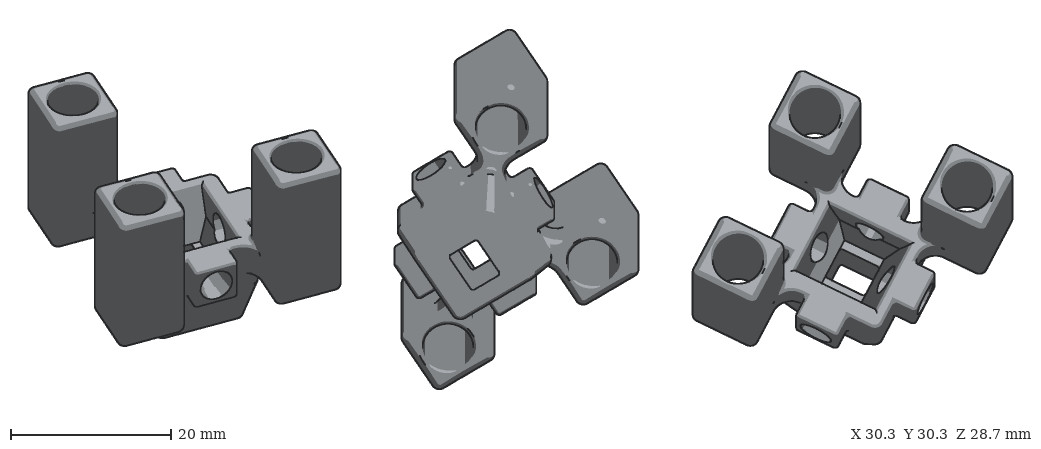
import cadquery as cq
import math

total_height = 28.7
tower_height = 20.0
tower_bottom = total_height - tower_height
body_top = 13.7
taper_top = 6.7

body_size = 14.5
nose_size_x = 10.8
nose_size_y = 11.8
body_corner_radius = 1.1

overall_size = 30.3
tower_size = 9.0
tower_offset = (overall_size - tower_size) / 2
tower_corners = [(-1, -1), (1, -1), (1, 1)]
tower_edge_radius = 1.0
tower_bore_diameter = 6.3
tower_bore_rounding = 0.5
web_radius = 2.5

arm_size = 5.9
arm_reach = 10.2
arm_axis_height = body_top - arm_size / 2
arm_bore_diameter = 3.9
arm_mouth_diameter = 4.3
arm_mouth_depth = 1.8

edge_radius = 0.5

pocket_top_x = 11.44
pocket_waist_x = 8.44
pocket_waist_y = 9.4
pocket_floor_x = 5.55
pocket_floor_y = 6.55
pocket_waist_height = 9.43
pocket_floor_height = 6.95
outlet_y = 4.2
outlet_corner_radius = 0.4

body_face = body_size / 2
tower_inner_face = tower_offset - tower_size / 2
web_start = tower_inner_face - web_radius
web_end = body_face + web_radius

tolerance = 0.01


def frustum(bottom_size, bottom_z, top_size, top_z):
    """Rectangular frustum centred on the Z axis, with sizes given as (X, Y)."""
    return (
        cq.Workplane("XY", origin=(0, 0, bottom_z))
        .rect(*bottom_size)
        .workplane(offset=top_z - bottom_z)
        .rect(*top_size)
        .loft(ruled=True)
    )


def plan_span(edge):
    """Smallest and largest distance of an edge's centre from the two vertical mid-planes."""
    center = edge.Center()
    return sorted((abs(center.x), abs(center.y)))


def lies_between(edge, low_z, high_z):
    box = edge.BoundingBox()
    return box.zmin > low_z - tolerance and box.zmax < high_z + tolerance


def is_at_corner(edge, corner):
    center = edge.Center()
    return center.x * corner[0] > 0 and center.y * corner[1] > 0


def make_body():
    nose_outline = cq.Sketch().rect(nose_size_x, nose_size_y).vertices().fillet(body_corner_radius)
    body_outline = cq.Sketch().rect(body_size, body_size).vertices().fillet(body_corner_radius)
    nose = (
        cq.Workplane("XY")
        .placeSketch(nose_outline, body_outline.moved(cq.Location(cq.Vector(0, 0, taper_top))))
        .loft(ruled=True)
        .faces("<Z")
        .edges()
        .fillet(edge_radius)
    )
    block = (
        cq.Workplane("XY", origin=(0, 0, taper_top))
        .placeSketch(body_outline)
        .extrude(body_top - taper_top)
    )
    return nose.union(block)


def turn_to_corner(part, corner):
    """Turn a part built at the (+X, +Y) corner to another corner."""
    turn = math.degrees(math.atan2(corner[1], corner[0])) - 45
    return part.rotate((0, 0, 0), (0, 0, 1), turn)


def make_web(corner):
    """Block joining a body corner to its tower, with a concave arc on either side."""
    arc_mid_low = web_start + web_radius * math.sqrt(0.5)
    arc_mid_high = web_end - web_radius * math.sqrt(0.5)
    web = (
        cq.Workplane("XY", origin=(0, 0, tower_bottom))
        .moveTo(web_start, web_start)
        .lineTo(body_face, web_start)
        .threePointArc((arc_mid_high, arc_mid_low), (web_end, tower_inner_face))
        .lineTo(web_end, web_end)
        .lineTo(tower_inner_face, web_end)
        .threePointArc((arc_mid_low, arc_mid_high), (web_start, body_face))
        .close()
        .extrude(body_top - tower_bottom)
        .faces("<Z")
        .edges("%CIRCLE")
        .fillet(tower_edge_radius)
    )
    return turn_to_corner(web, corner)


def make_arm(angle):
    arm = (
        cq.Workplane("YZ")
        .center(0, arm_axis_height)
        .rect(arm_size, arm_size)
        .extrude(arm_reach)
        .edges("|X and <Z")
        .fillet(edge_radius)
        .faces(">X")
        .edges("not >Z")
        .fillet(edge_radius)
    )
    return arm.rotate((0, 0, 0), (0, 0, 1), angle)


def make_tower(corner):
    tower = (
        cq.Workplane("XY", origin=(tower_offset, tower_offset, tower_bottom))
        .rect(tower_size, tower_size)
        .extrude(tower_height)
        .edges()
        .fillet(tower_edge_radius)
    )
    return turn_to_corner(tower, corner)


def round_top_rim(part):
    """Round the top outline, except where the towers will cover it."""
    rim = part.faces(">Z").edges().filter(lambda edge: plan_span(edge)[0] < body_face)
    return rim.fillet(edge_radius)


def add_tower(part, corner):
    """Add a tower and blend its inner corner into the top of the body."""
    part = part.union(make_tower(corner))
    seam = part.edges().filter(
        lambda edge: lies_between(edge, body_top, body_top)
        and is_at_corner(edge, corner)
        and plan_span(edge)[0] > tower_inner_face - tolerance
    )
    return seam.fillet(edge_radius)


def blend_tower_undersides(part):
    """Blend the undersides of the towers and webs into the sides of the body."""
    seam = part.edges().filter(
        lambda edge: lies_between(edge, tower_bottom, tower_bottom + tower_edge_radius)
        and plan_span(edge)[0] > web_start
        and plan_span(edge)[1] < body_face + tolerance
    )
    return seam.fillet(edge_radius)


def blend_arm_roots(part):
    """Blend the sides and underside of each arm into the body."""
    roots = part.edges().filter(
        lambda edge: lies_between(edge, body_top - arm_size, body_top - edge_radius)
        and abs(plan_span(edge)[1] - body_face) < tolerance
        and plan_span(edge)[0] < arm_size / 2 + tolerance
    )
    return roots.fillet(edge_radius)


def cut_pocket(part):
    """Cut the funnel, round its rim and open its floor."""
    top = (pocket_top_x, pocket_waist_y)
    waist = (pocket_waist_x, pocket_waist_y)
    floor = (pocket_floor_x, pocket_floor_y)
    upper = frustum(waist, pocket_waist_height, top, body_top)
    lower = frustum(floor, pocket_floor_height, waist, pocket_waist_height)
    outlet = (
        cq.Workplane("XY")
        .rect(pocket_floor_x, outlet_y)
        .extrude(pocket_waist_height)
        .edges("|Z")
        .fillet(outlet_corner_radius)
    )
    part = part.cut(upper.union(lower)).cut(outlet)
    rim = part.edges().filter(
        lambda edge: lies_between(edge, body_top, body_top)
        and plan_span(edge)[0] < tolerance
        and plan_span(edge)[1] < pocket_top_x / 2 + tolerance
    )
    return rim.fillet(edge_radius)


def tower_bore():
    """Round cutter along Z, centred on the origin, that rounds the mouth at each end."""
    radius = tower_bore_diameter / 2
    half = tower_height / 2
    mouth_radius = radius + tower_bore_rounding
    arc_end = half - tower_bore_rounding
    arc_inset = tower_bore_rounding * (1 - math.sqrt(0.5))
    return (
        cq.Workplane("XZ")
        .moveTo(0, -half)
        .lineTo(mouth_radius, -half)
        .threePointArc((radius + arc_inset, arc_inset - half), (radius, -arc_end))
        .lineTo(radius, arc_end)
        .threePointArc((radius + arc_inset, half - arc_inset), (mouth_radius, half))
        .lineTo(0, half)
        .close()
        .revolve(360, (0, 0, 0), (0, 1, 0))
    )


def arm_bore():
    """Round cutter along Z, centred on the origin, that tapers inwards from each end."""
    radius = arm_bore_diameter / 2
    mouth_radius = arm_mouth_diameter / 2
    taper_end = arm_reach - arm_mouth_depth
    return (
        cq.Workplane("XZ")
        .moveTo(0, -arm_reach)
        .lineTo(mouth_radius, -arm_reach)
        .lineTo(radius, -taper_end)
        .lineTo(radius, taper_end)
        .lineTo(mouth_radius, arm_reach)
        .lineTo(0, arm_reach)
        .close()
        .revolve(360, (0, 0, 0), (0, 1, 0))
    )


def cut_bores(part):
    tower_mid_height = tower_bottom + tower_height / 2
    for corner in tower_corners:
        place = (corner[0] * tower_offset, corner[1] * tower_offset, tower_mid_height)
        part = part.cut(tower_bore().translate(place))
    for axis in ((1, 0, 0), (0, 1, 0)):
        part = part.cut(arm_bore().rotate((0, 0, 0), axis, 90).translate((0, 0, arm_axis_height)))
    return part


result = make_body()
for tower_corner in tower_corners:
    result = result.union(make_web(tower_corner))
for arm_angle in (0, 90, 180, 270):
    result = result.union(make_arm(arm_angle))
result = round_top_rim(result)
for tower_corner in tower_corners:
    result = add_tower(result, tower_corner)
result = blend_tower_undersides(result)
result = blend_arm_roots(result)
result = cut_pocket(result)
result = cut_bores(result)